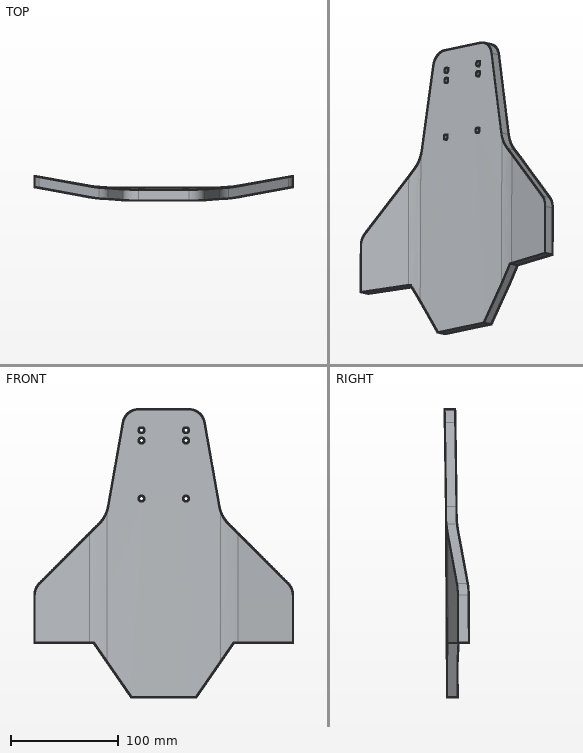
import cadquery as cq
import math


thickness = 10.0
bow_radius = 15200.0
wing_angle = 10.0
flat_half_width = 52.8
bend_radius_front = 92.7
bend_radius_back = bend_radius_front - thickness

total_height = 267.6
tail_half_width = 30.0
shoulder_half_width = 65.0
wing_half_span = 120.0
wing_bottom_z = 50.6
wing_top_z = 101.2
wing_edge_angle = 45.0
nose_half_width = 35.8
neck_angle = 10.0
corner_radius = 15.0
neck_radius = 30.0

hole_diameter = 5.0
hole_spacing_x = 41.3
lowest_hole_z = 184.5
hole_offsets_z = (0.0, 53.9, 63.5)

side_margin = 5.0
end_margin = 10.0
cutter_depth = 100.0


def mirrored(points):
    """Points in reverse order on the opposite side of the centre plane."""
    return [(-x, y) for x, y in reversed(points)]


def bent_sheet():
    """Bent cross-section in XY, swept along the lengthwise bow."""
    angle = math.radians(wing_angle)
    wing_end_x = wing_half_span + side_margin

    def bend_point(radius, turn):
        x = flat_half_width + radius * math.sin(turn)
        y = bend_radius_front - radius * math.cos(turn)
        return (x, y)

    def half_face(radius):
        """Bend start, bend middle, bend end and wing end of one face."""
        start, middle, end = [bend_point(radius, turn) for turn in (0, angle / 2, angle)]
        wing_end = (wing_end_x, end[1] + (wing_end_x - end[0]) * math.tan(angle))
        return [start, middle, end, wing_end]

    front = half_face(bend_radius_front)
    back = half_face(bend_radius_back)
    front_left = mirrored(front)
    back_left = mirrored(back)

    section = (
        cq.Workplane("XY")
        .moveTo(*front_left[0])
        .lineTo(*front_left[1])
        .threePointArc(front_left[2], front_left[3])
        .lineTo(*front[0])
        .threePointArc(front[1], front[2])
        .lineTo(*front[3])
        .lineTo(*back[3])
        .lineTo(*back[2])
        .threePointArc(back[1], back[0])
        .lineTo(*back_left[3])
        .threePointArc(back_left[2], back_left[1])
        .lineTo(*back_left[0])
        .close()
    )
    margin_turn = math.degrees(end_margin / bow_radius)
    length_turn = math.degrees(total_height / bow_radius)
    sheet = section.revolve(length_turn + 2 * margin_turn, (0, -bow_radius), (1, -bow_radius))

    axis_start = (0, -bow_radius, 0)
    axis_end = (1, -bow_radius, 0)
    return sheet.rotate(axis_start, axis_end, -margin_turn)


def outline_block():
    """Deck outline in XZ, extruded along Y through the whole sheet."""
    neck_slope = math.tan(math.radians(neck_angle))
    wing_slope = math.tan(math.radians(wing_edge_angle))

    neck_width_at_tip_level = nose_half_width + (total_height - wing_top_z) * neck_slope
    neck_rise = (wing_half_span - neck_width_at_tip_level) / (wing_slope - neck_slope)
    neck_corner = (wing_half_span - neck_rise * wing_slope, wing_top_z + neck_rise)
    tip_corner = (wing_half_span, wing_top_z)
    nose_corner = (nose_half_width, total_height)

    right_side = [
        (tail_half_width, 0),
        (shoulder_half_width, wing_bottom_z),
        (wing_half_span, wing_bottom_z),
        tip_corner,
        neck_corner,
        nose_corner,
    ]
    block = (
        cq.Workplane("XZ")
        .polyline(right_side + mirrored(right_side))
        .close()
        .extrude(cutter_depth / 2, both=True)
    )

    def round_corners(solid, corner, radius):
        for side in (-1, 1):
            nearest = cq.selectors.NearestToPointSelector((side * corner[0], 0, corner[1]))
            solid = solid.edges("|Y").edges(nearest).fillet(radius)
        return solid

    block = round_corners(block, nose_corner, corner_radius)
    block = round_corners(block, tip_corner, corner_radius)
    return round_corners(block, neck_corner, neck_radius)


def mounting_holes():
    """Two columns of through holes near the nose."""
    centres = [
        (side * hole_spacing_x / 2, lowest_hole_z + offset)
        for side in (-1, 1)
        for offset in hole_offsets_z
    ]
    return (
        cq.Workplane("XZ")
        .pushPoints(centres)
        .circle(hole_diameter / 2)
        .extrude(cutter_depth / 2, both=True)
    )


result = bent_sheet().intersect(outline_block()).cut(mounting_holes())